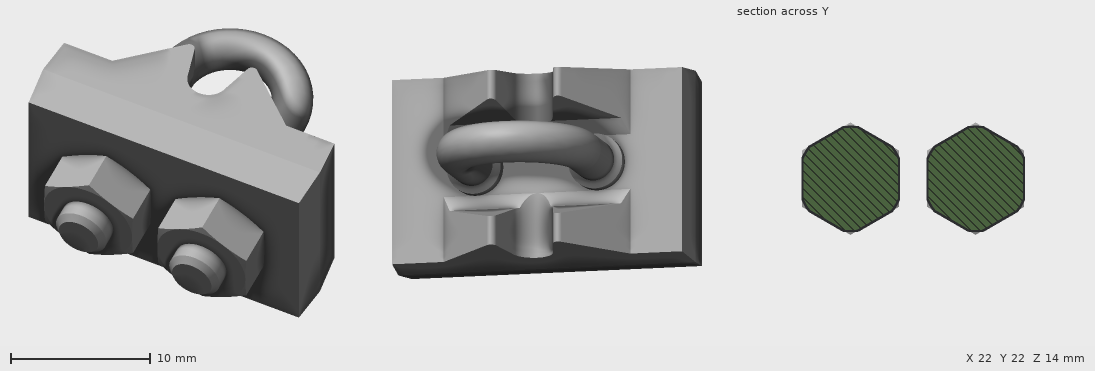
import cadquery as cq
import math


saddle_length = 22.0
saddle_height = 14.0
half_thickness = 3.0
draft_angle = 5.0

groove_radius = 1.5
flank_angle = 14.3
horn_apex_y = 7.35
horn_foot_x = 6.9
horn_tip_radius = 0.4

channel_mouth_y = 7.0
channel_mouth_half_width = 4.3
channel_bend_y = 3.52
channel_bend_half_width = 3.12

overall_depth = 22.0
leg_spacing = 9.0
wire_diameter = 3.0
thread_diameter = 4.0
loop_center_y = 8.18
thread_start_y = 3.78
shoulder_length = 0.4
end_chamfer = 0.45

nut_width = 7.0
nut_height = 3.21
nut_chamfer_angle = 15.0
nut_turn_angle = 30.0

leg_x = leg_spacing / 2
wire_radius = wire_diameter / 2
thread_radius = thread_diameter / 2
bolt_end_y = loop_center_y + leg_x + wire_radius - overall_depth
nut_corner_radius = nut_width / math.sqrt(3)


def revolve_about_leg(profile, x):
    """Revolve a radius/Y half profile about the leg axis and move it to leg x."""
    return profile.close().revolve(360, (0, 0, 0), (0, 1, 0)).translate((x, 0, 0))


def make_horn_prism():
    """Prism along Z of the horned outline, with the rope groove between the horns."""
    flank = math.radians(flank_angle)
    groove_center_y = half_thickness + groove_radius
    tangent_x = groove_radius * math.cos(flank)
    tangent_y = groove_center_y - groove_radius * math.sin(flank)
    apex_x = tangent_x + (horn_apex_y - tangent_y) * math.tan(flank)

    outline = (
        cq.Workplane("XY")
        .moveTo(-saddle_length / 2, 0)
        .lineTo(-saddle_length / 2, half_thickness)
        .lineTo(-horn_foot_x, half_thickness)
        .lineTo(-apex_x, horn_apex_y)
        .lineTo(-tangent_x, tangent_y)
        .threePointArc((0, half_thickness), (tangent_x, tangent_y))
        .lineTo(apex_x, horn_apex_y)
        .lineTo(horn_foot_x, half_thickness)
        .lineTo(saddle_length / 2, half_thickness)
        .lineTo(saddle_length / 2, 0)
        .close()
    )
    prism = outline.extrude(saddle_height / 2, both=True)
    apex_edges = prism.edges("|Z").edges(">Y")
    return apex_edges.fillet(horn_tip_radius)


def make_channel():
    """Cut along X that splits the horns into an upper and a lower pair."""
    wall_slope = (channel_mouth_half_width - channel_bend_half_width) / (channel_mouth_y - channel_bend_y)
    top_half_width = channel_mouth_half_width + wall_slope * (horn_apex_y - channel_mouth_y)
    return (
        cq.Workplane("YZ")
        .moveTo(half_thickness, -thread_radius)
        .lineTo(channel_bend_y, -channel_bend_half_width)
        .lineTo(horn_apex_y, -top_half_width)
        .lineTo(horn_apex_y, top_half_width)
        .lineTo(channel_bend_y, channel_bend_half_width)
        .lineTo(half_thickness, thread_radius)
        .close()
        .extrude(saddle_length / 2, both=True)
    )


def make_saddle():
    nut_side = (
        cq.Workplane("XZ")
        .rect(saddle_length, saddle_height)
        .extrude(half_thickness, taper=draft_angle)
    )
    loop_side = (
        cq.Workplane("ZX")
        .rect(saddle_height, saddle_length)
        .extrude(horn_apex_y, taper=draft_angle)
        .intersect(make_horn_prism())
        .cut(make_channel())
    )
    leg_holes = (
        cq.Workplane("XZ")
        .pushPoints([(-leg_x, 0), (leg_x, 0)])
        .circle(thread_radius)
        .extrude(saddle_height, both=True)
    )
    return nut_side.union(loop_side).cut(leg_holes)


def make_leg(x):
    """Straight leg: thin wire, conical shoulder, thick threaded end with a chamfer."""
    profile = (
        cq.Workplane("XY")
        .moveTo(0, loop_center_y)
        .lineTo(wire_radius, loop_center_y)
        .lineTo(wire_radius, thread_start_y + shoulder_length)
        .lineTo(thread_radius, thread_start_y)
        .lineTo(thread_radius, bolt_end_y + end_chamfer)
        .lineTo(thread_radius - end_chamfer, bolt_end_y)
        .lineTo(0, bolt_end_y)
    )
    return revolve_about_leg(profile, x)


def make_nut(x):
    """Hexagon nut with corners up and down, chamfered at both ends."""
    near_y = -half_thickness
    far_y = near_y - nut_height
    chamfer_depth = (nut_corner_radius - nut_width / 2) * math.tan(math.radians(nut_chamfer_angle))
    hexagon = (
        cq.Workplane("XZ", origin=(x, near_y, 0))
        .polygon(6, 2 * nut_corner_radius)
        .extrude(nut_height)
        .rotate((x, 0, 0), (x, 1, 0), nut_turn_angle)
    )
    chamfer_profile = (
        cq.Workplane("XY")
        .moveTo(0, near_y)
        .lineTo(nut_width / 2, near_y)
        .lineTo(nut_corner_radius, near_y - chamfer_depth)
        .lineTo(nut_corner_radius, far_y + chamfer_depth)
        .lineTo(nut_width / 2, far_y)
        .lineTo(0, far_y)
    )
    return hexagon.intersect(revolve_about_leg(chamfer_profile, x))


def make_u_bolt():
    """Half-ring loop with two legs, each leg carrying its nut."""
    bolt = (
        cq.Workplane("XZ", origin=(leg_x, loop_center_y, 0))
        .circle(wire_radius)
        .revolve(180, (-leg_x, 0, 0), (-leg_x, 1, 0))
    )
    for x in (-leg_x, leg_x):
        bolt = bolt.union(make_leg(x)).union(make_nut(x))
    return bolt


saddle = make_saddle()
u_bolt = make_u_bolt()

result = cq.Compound.makeCompound([saddle.solids().val(), u_bolt.solids().val()])